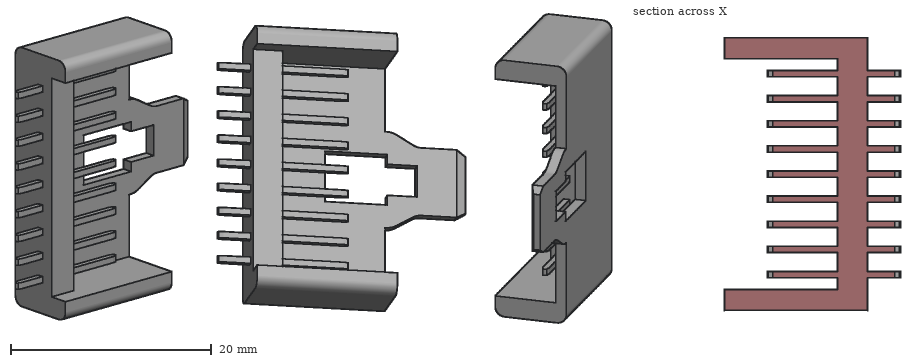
import cadquery as cq
import math

height = 27.2
width = 7.5
depth = 14.25
corner_radius = 1.0
base_width = 5.45
base_thickness = 3.0
end_wall = 2.12
latch_wall = 1.15
outer_x = -width / 2

tongue_length = 8.27
tongue_half_height = 3.5
root_half_height = 4.98
flare_angle = math.radians(30)
toe_radius = 1.5
shoulder_radius = 2.0
root_land = 0.15
tip_chamfer = 1.0
tip_corner_drop = tip_chamfer * math.tan(flare_angle)
tip_thickness = 0.68
window_start = 8.15
window_step = 14.5
window_end = 17.52
wide_window = 5.22
narrow_window = 3.2

pin_count = 9
pin_pitch = 2.5
pin_size = 0.65
pin_tail = 3.3
pin_reach = 10.0
nose_half_width = 0.22
nose_length = 0.1
taper_length = 0.44


def make_box(x_range, y_range, z_range):
    """Return a box spanning the given (low, high) ranges."""
    lows, highs = zip(x_range, y_range, z_range)
    sizes = [high - low for low, high in zip(lows, highs)]
    return cq.Workplane("XY").box(*sizes, centered=False).translate(lows)


def make_housing():
    """Rounded block, open toward +X and +Y, with a base and two end walls."""
    inner_half_height = height / 2 - end_wall
    inner_z = (-inner_half_height, inner_half_height)
    block = make_box((outer_x, -outer_x), (0, depth), (-height / 2, height / 2))
    block = block.edges("|Y").fillet(corner_radius)
    cavity = make_box((outer_x + latch_wall, width), (base_thickness, depth), inner_z)
    base_recess = make_box((outer_x + base_width, width), (0, depth), inner_z)
    return block.cut(cavity).cut(base_recess)


def make_half_tongue():
    """Upper half of the tongue, flaring tangentially into a wider root."""
    tip_y = depth + tongue_length
    shoulder_y = depth + root_land
    sine, cosine = math.sin(flare_angle), math.cos(flare_angle)
    toe_rise = toe_radius * (1 - cosine)
    shoulder_drop = shoulder_radius * (1 - cosine)
    flare_top = (shoulder_y + shoulder_radius * sine, root_half_height - shoulder_drop)
    flare_bottom_z = tongue_half_height + toe_rise
    flare_bottom_y = flare_top[0] + (flare_top[1] - flare_bottom_z) / math.tan(flare_angle)
    toe_y = flare_bottom_y + toe_radius * sine
    return (
        cq.Workplane("YZ", origin=(outer_x, 0, 0))
        .moveTo(depth - latch_wall, 0)
        .lineTo(tip_y, 0)
        .lineTo(tip_y, tongue_half_height - tip_corner_drop)
        .lineTo(tip_y - tip_chamfer, tongue_half_height)
        .lineTo(toe_y, tongue_half_height)
        .tangentArcPoint((flare_bottom_y, flare_bottom_z), relative=False)
        .lineTo(*flare_top)
        .tangentArcPoint((shoulder_y, root_half_height), relative=False)
        .lineTo(depth - latch_wall, root_half_height)
        .close()
        .extrude(latch_wall)
    )


def make_tip_bevel():
    """Wedge that thins the inner side of the tongue tip."""
    tip_y = depth + tongue_length
    return (
        cq.Workplane("XY")
        .moveTo(outer_x + tip_thickness, tip_y)
        .lineTo(outer_x + latch_wall, tip_y)
        .lineTo(outer_x + latch_wall, tip_y - tip_chamfer)
        .close()
        .extrude(tongue_half_height, both=True)
    )


def make_window():
    """Stepped opening through the latch wall, narrower in the tongue."""
    wall_x = (outer_x, outer_x + latch_wall)
    wide = make_box(wall_x, (window_start, window_step), (-wide_window / 2, wide_window / 2))
    narrow = make_box(wall_x, (window_step, window_end), (-narrow_window / 2, narrow_window / 2))
    return wide.union(narrow)


def make_pin():
    """Square pin whose ends taper in X to a rounded nose."""
    half = pin_size / 2
    nose = nose_half_width
    tail_nose_y = -pin_tail + nose_length
    reach_nose_y = pin_reach - nose_length
    return (
        cq.Workplane("XY")
        .moveTo(half, tail_nose_y + taper_length)
        .lineTo(half, reach_nose_y - taper_length)
        .lineTo(nose, reach_nose_y)
        .threePointArc((0, pin_reach), (-nose, reach_nose_y))
        .lineTo(-half, reach_nose_y - taper_length)
        .lineTo(-half, tail_nose_y + taper_length)
        .lineTo(-nose, tail_nose_y)
        .threePointArc((0, -pin_tail), (nose, tail_nose_y))
        .close()
        .extrude(half, both=True)
    )


half_tongue = make_half_tongue()
tongue = half_tongue.union(half_tongue.mirror("XY")).cut(make_tip_bevel())
result = make_housing().union(tongue).cut(make_window())

pin = make_pin()
for index in range(pin_count):
    pin_z = (index - (pin_count - 1) / 2) * pin_pitch
    result = result.union(pin.translate((0, 0, pin_z)))